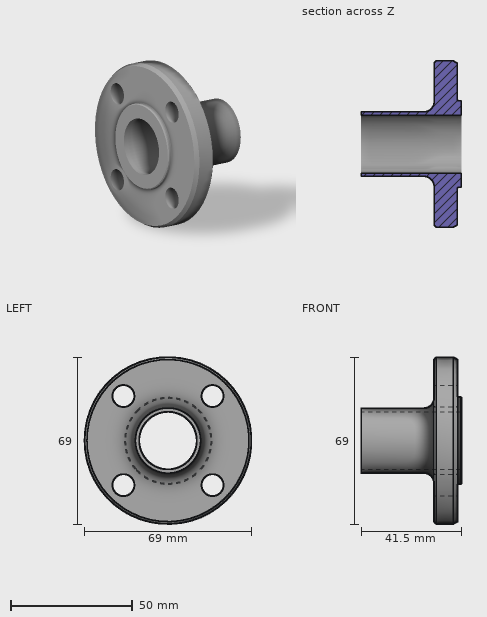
import cadquery as cq

length = 41.5
flange_thickness = 9.8
face_height = 1.65

flange_diameter = 69.0
tube_diameter = 26.9
bore_diameter = 23.7
face_diameter = 36.0
hole_diameter = 9.0
bolt_circle_diameter = 52.0
hole_count = 4
first_hole_angle = 45.0

neck_fillet = 4.0
back_chamfer = 1.05
front_chamfer_axial = 1.85
front_chamfer_radial = 1.05
face_chamfer = 0.4
face_fillet = 0.35

face_start = length - face_height
flange_start = face_start - flange_thickness

flange_radius = flange_diameter / 2
tube_radius = tube_diameter / 2
bore_radius = bore_diameter / 2
face_radius = face_diameter / 2


def revolved_body():
    """Tube, filleted neck, flange and raised face, revolved about X."""
    profile = (
        cq.Workplane("XY")
        .moveTo(0, bore_radius)
        .lineTo(0, tube_radius)
        .lineTo(flange_start - neck_fillet, tube_radius)
        .radiusArc((flange_start, tube_radius + neck_fillet), -neck_fillet)
        .lineTo(flange_start, flange_radius - back_chamfer)
        .lineTo(flange_start + back_chamfer, flange_radius)
        .lineTo(face_start - front_chamfer_axial, flange_radius)
        .lineTo(face_start, flange_radius - front_chamfer_radial)
        .lineTo(face_start, face_radius + face_fillet)
        .radiusArc((face_start + face_fillet, face_radius), -face_fillet)
        .lineTo(length - face_chamfer, face_radius)
        .lineTo(length, face_radius - face_chamfer)
        .lineTo(length, bore_radius)
        .close()
    )
    return profile.revolve(360, (0, 0, 0), (1, 0, 0))


def bolt_holes():
    """Cylinders through the flange, evenly spaced on the bolt circle."""
    return (
        cq.Workplane("YZ", origin=(flange_start, 0, 0))
        .polarArray(bolt_circle_diameter / 2, first_hole_angle, 360, hole_count)
        .circle(hole_diameter / 2)
        .extrude(flange_thickness)
    )


result = revolved_body().cut(bolt_holes())